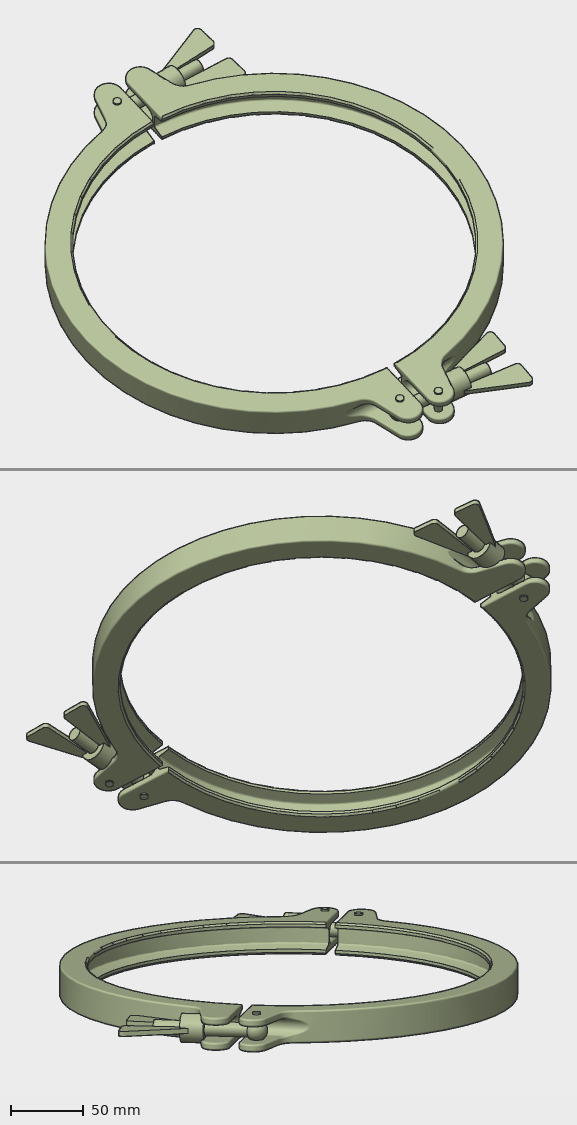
import cadquery as cq
import math

RING_OUTER_R = 314.0 / 2
RING_INNER_R = 138.0
RING_HEIGHT = 22.7
HALF_GAP = 3.0
EDGE_ROUND = 1.4

GROOVE_BOTTOM_R = 147.0
GROOVE_MOUTH_HEIGHT = 15.5
GROOVE_BOTTOM_HEIGHT = 11.0
GROOVE_ROUND = 1.5
GROOVE_OVERCUT = 4

EAR_TIP_R = 10.0
EAR_TIP_X = 178.0
EAR_TIP_Y = HALF_GAP + EAR_TIP_R
EAR_SLOPE = math.radians(15)
EAR_FILLET_R = 12

SLOT_HEIGHT = 12.5
SLOT_END_X = 150.0
LEVEL_MARGIN = 0.05

PIN_R = 2.87
PIN_LENGTH = 25.0
PIVOT_X = 168.0
PIVOT_Y = -13.0
RETAINER_X = 177.5
RETAINER_Y = 12.5

BOLT_TILT = 2.8
BOLT_HEAD_R = 7.5
BOLT_R = 10.0 / 2
BOLT_LENGTH = 71.0

NUT_R = 10.0
NUT_SEAT = 35.5
NUT_TOP = 52.0
WING_THICKNESS = 3.5
WING_FOOT = 46.0
WING_TOP = 91.8
WING_FOOT_INNER = 5.5
WING_TOP_INNER = 7.5
WING_TOP_OUTER = 28.7
WING_CORNER_R = 3.0

SIDES = (1, -1)


def half_outline():
    """Closed outline of the +Y half: ring arc with an ear at each end."""
    normal = (math.sin(EAR_SLOPE), math.cos(EAR_SLOPE))
    along = (math.cos(EAR_SLOPE), -math.sin(EAR_SLOPE))
    slope_offset = EAR_TIP_X * normal[0] + EAR_TIP_Y * normal[1] + EAR_TIP_R

    fillet_offset = slope_offset + EAR_FILLET_R
    fillet_reach = RING_OUTER_R + EAR_FILLET_R
    fillet_along = math.sqrt(fillet_reach**2 - fillet_offset**2)
    fillet_x = fillet_offset * normal[0] + fillet_along * along[0]
    fillet_y = fillet_offset * normal[1] + fillet_along * along[1]

    slope_angle = math.atan2(-normal[1], -normal[0])
    ring_angle = math.atan2(-fillet_y, -fillet_x)
    middle_angle = (slope_angle + ring_angle) / 2

    def on_fillet(angle, side):
        x = fillet_x + EAR_FILLET_R * math.cos(angle)
        y = fillet_y + EAR_FILLET_R * math.sin(angle)
        return (side * x, y)

    def tip_tangent(side):
        x = EAR_TIP_X + EAR_TIP_R * normal[0]
        y = EAR_TIP_Y + EAR_TIP_R * normal[1]
        return (side * x, y)

    def tip_end(side):
        return (side * (EAR_TIP_X + EAR_TIP_R), EAR_TIP_Y)

    inner_corner_x = math.sqrt(RING_INNER_R**2 - HALF_GAP**2)
    return (
        cq.Workplane("XY", origin=(0, 0, -RING_HEIGHT / 2))
        .moveTo(inner_corner_x, HALF_GAP)
        .lineTo(EAR_TIP_X, HALF_GAP)
        .threePointArc(tip_end(1), tip_tangent(1))
        .lineTo(*on_fillet(slope_angle, 1))
        .threePointArc(on_fillet(middle_angle, 1), on_fillet(ring_angle, 1))
        .threePointArc((0, RING_OUTER_R), on_fillet(ring_angle, -1))
        .threePointArc(on_fillet(middle_angle, -1), on_fillet(slope_angle, -1))
        .lineTo(*tip_tangent(-1))
        .threePointArc(tip_end(-1), (-EAR_TIP_X, HALF_GAP))
        .lineTo(-inner_corner_x, HALF_GAP)
        .threePointArc((0, RING_INNER_R), (inner_corner_x, HALF_GAP))
        .close()
    )


def groove():
    """Ring-shaped cutter with the V-groove's section."""
    mouth_r = RING_INNER_R - GROOVE_OVERCUT
    flare = (GROOVE_MOUTH_HEIGHT - GROOVE_BOTTOM_HEIGHT) / (GROOVE_BOTTOM_R - RING_INNER_R)
    bottom_half = GROOVE_BOTTOM_HEIGHT / 2
    mouth_half = bottom_half + flare * (GROOVE_BOTTOM_R - mouth_r) / 2
    return (
        cq.Workplane("XZ")
        .polyline([
            (mouth_r, -mouth_half),
            (GROOVE_BOTTOM_R, -bottom_half),
            (GROOVE_BOTTOM_R, bottom_half),
            (mouth_r, mouth_half),
        ])
        .close()
        .revolve(360, (0, 0, 0), (0, 1, 0))
        .edges(cq.selectors.RadiusNthSelector(-1))
        .fillet(GROOVE_ROUND)
    )


def ear_slot(side):
    """Cutter for the bolt slot through the ear on one side (+1 or -1 in X)."""
    length = RING_OUTER_R
    slot = cq.Workplane("XZ").center(SLOT_END_X + length / 2, 0).slot2D(length, SLOT_HEIGHT)
    slot = slot.extrude(RING_OUTER_R, both=True)
    return slot if side > 0 else slot.mirror("YZ")


def edges_at_level(level):
    """Selector for the edges that lie flat at one Z level."""
    reach = 2 * RING_OUTER_R
    return cq.selectors.BoxSelector(
        (-reach, -reach, level - LEVEL_MARGIN),
        (reach, reach, level + LEVEL_MARGIN),
        boundingbox=True,
    )


def slot_rims():
    """Selector for the outer rims of the slots' flat walls.

    The Y-parallel edges are left out: there the walls run smoothly into the round ends.
    """
    wall_edges = edges_at_level(SLOT_HEIGHT / 2) + edges_at_level(-SLOT_HEIGHT / 2)
    return wall_edges - cq.selectors.ParallelDirSelector(cq.Vector(0, 1, 0))


def clamp_half():
    """The +Y half of the ring, grooved and slotted, with rounded outer edges."""
    half = half_outline().extrude(RING_HEIGHT)
    half = half.faces("<Z or >Z").edges().fillet(EDGE_ROUND)
    half = half.cut(groove())
    for side in SIDES:
        half = half.cut(ear_slot(side))
    return half.edges(slot_rims()).fillet(EDGE_ROUND)


def pin(x, y):
    """Plain pin along Z that stands slightly proud of both ear faces."""
    return cq.Workplane("XY", origin=(x, y, -PIN_LENGTH / 2)).circle(PIN_R).extrude(PIN_LENGTH)


def place_on_pivot(shape, side):
    """Tilt a shape built along +Y outward and carry it to the pivot on one side."""
    placed = shape.rotate((0, 0, 0), (0, 0, 1), -BOLT_TILT).translate((PIVOT_X, PIVOT_Y, 0))
    return placed if side > 0 else placed.mirror("YZ")


def rod(radius, start, end):
    """Cylinder along +Y between two distances from the pivot."""
    return cq.Workplane("XZ", origin=(0, start, 0)).circle(radius).extrude(start - end)


def swing_bolt():
    """Bolt along +Y; its ball head is flattened to fit the slot."""
    flats = cq.Workplane("XY").box(2 * BOLT_HEAD_R, 2 * BOLT_HEAD_R, SLOT_HEIGHT)
    head = cq.Workplane("XY").sphere(BOLT_HEAD_R).intersect(flats)
    return head.union(rod(BOLT_R, 0, BOLT_LENGTH))


def wing():
    """The +X wing of the nut."""
    return (
        cq.Workplane("XY", origin=(0, 0, -WING_THICKNESS / 2))
        .polyline([
            (WING_FOOT_INNER, WING_FOOT),
            (NUT_R, WING_FOOT),
            (WING_TOP_OUTER, WING_TOP),
            (WING_TOP_INNER, WING_TOP),
        ])
        .close()
        .extrude(WING_THICKNESS)
        .edges("|Z and >Y")
        .fillet(WING_CORNER_R)
    )


def wing_nut():
    """Round collar with two flat wings, built around the bolt's axis."""
    collar = rod(NUT_R, NUT_SEAT, NUT_TOP)
    return collar.union(wing()).union(wing().mirror("YZ"))


def upper_half():
    """The +Y body: recesses seat the nuts, and a pin closes the +X slot."""
    half = clamp_half()
    for side in SIDES:
        recess = rod(NUT_R, NUT_SEAT, WING_TOP)
        half = half.cut(place_on_pivot(recess, side))
    return half.union(pin(RETAINER_X, RETAINER_Y))


def lower_half():
    """The -Y body, carrying the pivot pins, swing bolts and wing nuts."""
    half = clamp_half().mirror("XZ")
    for side in SIDES:
        half = half.union(pin(side * PIVOT_X, PIVOT_Y))
        half = half.union(place_on_pivot(swing_bolt().union(wing_nut()), side))
    return half


upper = upper_half()
lower = lower_half()

result = cq.Compound.makeCompound([upper.solids().val(), lower.solids().val()])